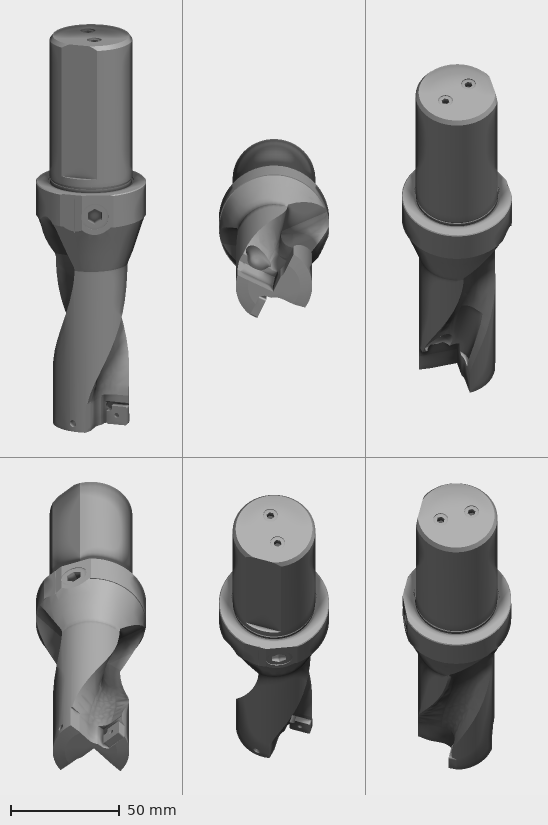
import cadquery as cq
import math


total_height = 186.36
shank_length = 69.85
collar_top_z = total_height - shank_length
collar_height = 15.6
collar_bottom_z = collar_top_z - collar_height
cone_bottom_z = 79.5
neck_blend_height = 1.6

shank_radius = 19.05
shank_chamfer_height = 1.9
shank_chamfer_width = 1.4
collar_radius = 25.4
collar_edge_chamfer = 0.4
cone_top_radius = 25.0
cone_bottom_radius = 18.1
drill_radius = 17.6
tip_flat_radius = 12.0
tip_bevel_height = 0.55
undercut_radius = 18.4
undercut_top_height = 2.3
neck_ring_radius = 18.9
neck_ring_height = 1.1
face_recess_radius = 19.9
face_recess_depth = 0.5

shank_flat_distance = 17.0
shank_flat_length = 63.8
collar_flat_distance = 24.4
screw_flat_distance = 23.92
screw_flat_angle = 22.5
witness_width = 0.5
witness_depth = 0.3
witness_bottom_z = 96.0

outer_flute_vertex_x = 3.8
outer_flute_fillet = 7.5
inner_flute_vertex_x = 2.2
inner_flute_fillet = 6.3
flute_vertex_y = 1.5
flute_reach = 40.0
twist_angle = 78.0
twist_start_z = 13.0
twist_ease_power = 0.8
twist_sections = 14
runout_lean_x = 0.5
runout_lean_y = 0.76
runout_height = 32.0

land_y = 2.0
land_height = 14.3
land_inner_x = 5.9
land_outer_x = 3.0
pocket_height = 10.7
pocket_wall_inset = 1.5
pocket_floor_y = 4.0
insert_face_y = 0.3
insert_inner_x = land_inner_x + pocket_wall_inset
insert_outer_x = 17.2
insert_bottom_z = 0.35
insert_top_z = pocket_height - pocket_wall_inset
insert_corner = 0.8
insert_center_x = (insert_inner_x + insert_outer_x) / 2
insert_center_z = (insert_bottom_z + insert_top_z) / 2
insert_screw_head_radius = 2.9
insert_screw_head_height = 2.2
insert_screw_radius = 1.6
insert_screw_length = 9.0
insert_socket_radius = 1.1
insert_socket_depth = 1.5
relief_radius = 1.9
relief_x = 8.2
relief_z = 8.3

cross_hole_x = -3.1
cross_hole_z = 4.4
cross_hole_radius = 1.6
cross_hole_depth = 8.0

inner_slot_y = -0.7
inner_slot_end_x = 2.5
inner_slot_top_x = 0.5
inner_slot_bend_z = 9.6
inner_slot_top_z = 18.4
ball_radius = 7.0
ball_x = -4.5
ball_y = 9.5
ball_z = 22.5
scoop_radius = 6.0
scoop_start = (-8.0, 2.5, 14.0)
scoop_end = (-8.5, -4.0, 44.0)

side_plug_z = 106.3
side_plug_radius = 6.2
side_plug_length = 12.0
side_plug_recess = 0.3
side_plug_hex = 6.5
side_plug_hex_depth = 5.0
plug_sides = (1, -1)
end_plug_x = 3.65
end_plug_y = -6.45
end_plug_radius = 3.4
end_plug_length = 8.0
end_plug_recess = 0.5
end_plug_hex = 3.2
end_plug_hex_depth = 3.0

margin = 1.0


def block(x_min, x_max, y_min, y_max, z_min, z_max):
    """Axis-aligned box between the given limits."""
    size = (x_max - x_min, y_max - y_min, z_max - z_min)
    return cq.Workplane("XY").box(*size, centered=False).translate((x_min, y_min, z_min))


def cylinder(origin, direction, radius, length):
    """Cylinder starting at origin and running along direction."""
    return cq.Workplane(cq.Solid.makeCylinder(radius, length, cq.Vector(*origin), cq.Vector(*direction)))


def turned_blank():
    """Shank, undercut, collar, cone and drill body turned about Z."""
    recess_z = collar_top_z - face_recess_depth
    ring_top_z = collar_top_z + neck_ring_height
    undercut_top_z = collar_top_z + undercut_top_height
    return (
        cq.Workplane("XZ")
        .moveTo(0, 0)
        .lineTo(tip_flat_radius, 0)
        .lineTo(drill_radius, tip_bevel_height)
        .lineTo(drill_radius, cone_bottom_z - neck_blend_height)
        .lineTo(cone_bottom_radius, cone_bottom_z)
        .lineTo(cone_top_radius, collar_bottom_z)
        .lineTo(collar_radius, collar_bottom_z)
        .lineTo(collar_radius, collar_top_z - collar_edge_chamfer)
        .lineTo(collar_radius - collar_edge_chamfer, collar_top_z)
        .lineTo(face_recess_radius, collar_top_z)
        .lineTo(face_recess_radius, recess_z)
        .lineTo(neck_ring_radius, recess_z)
        .lineTo(neck_ring_radius, ring_top_z)
        .lineTo(undercut_radius, ring_top_z)
        .lineTo(undercut_radius, undercut_top_z)
        .lineTo(shank_radius, undercut_top_z)
        .lineTo(shank_radius, total_height - shank_chamfer_height)
        .lineTo(shank_radius - shank_chamfer_width, total_height)
        .lineTo(0, total_height)
        .close()
        .revolve(360, (0, 0), (0, 1))
    )


def shank_flat_cut():
    """Clamping flat on the -Y side of the shank."""
    return block(
        -shank_radius, shank_radius, -shank_radius - margin, -shank_flat_distance,
        total_height - shank_flat_length, total_height + margin,
    )


def collar_flat_cut(distance, angle):
    """Flat across the collar and cone, facing -Y turned by angle about Z."""
    cut = block(
        -collar_radius, collar_radius, -collar_radius - margin, -distance,
        cone_bottom_z, collar_top_z + margin,
    )
    return cut.rotate((0, 0, 0), (0, 0, 1), angle)


def witness_line_cut():
    """Shallow vertical line on the collar flat."""
    return block(
        -witness_width / 2, witness_width / 2,
        -collar_radius, -collar_flat_distance + witness_depth,
        witness_bottom_z, collar_top_z + margin,
    )


def flute_section(vertex_x, fillet, z, angle):
    """Right-angled flute section with a rounded root, at height z and turned by angle."""
    root_center_x = vertex_x + fillet
    root_center_y = flute_vertex_y - fillet
    root_offset = fillet * math.sqrt(0.5)
    return (
        cq.Workplane("XY")
        .moveTo(vertex_x, -flute_reach)
        .lineTo(vertex_x, root_center_y)
        .threePointArc(
            (root_center_x - root_offset, root_center_y + root_offset),
            (root_center_x, flute_vertex_y),
        )
        .lineTo(flute_reach, flute_vertex_y)
        .lineTo(flute_reach, -flute_reach)
        .close()
        .val()
        .rotate(cq.Vector(0, 0, 0), cq.Vector(0, 0, 1), angle)
        .translate(cq.Vector(0, 0, z))
    )


def twist_at(fraction):
    """Flute angle along the twist, easing in and out."""
    eased = fraction ** twist_ease_power
    return twist_angle * eased ** 2 * (3 - 2 * eased)


def flute_cuts(vertex_x, fillet):
    """Straight start, twisted length and leaning run-out of a flute that starts toward +X."""
    start = cq.Solid.extrudeLinear(
        flute_section(vertex_x, fillet, -margin, 0), [], cq.Vector(0, 0, twist_start_z + margin)
    )
    sections = []
    for index in range(twist_sections + 1):
        fraction = index / twist_sections
        z = twist_start_z + fraction * (cone_bottom_z - twist_start_z)
        sections.append(flute_section(vertex_x, fillet, z, twist_at(fraction)))
    twisted = cq.Solid.makeLoft(sections)
    lean = cq.Vector(runout_lean_x, runout_lean_y, 1) * runout_height
    runout = cq.Solid.extrudeLinear(
        flute_section(vertex_x, fillet, cone_bottom_z, twist_angle), [], lean
    )
    return [cq.Workplane(cut) for cut in (start, twisted, runout)]


def inner_slot_cut():
    """Slot reaching past the axis at the cutting end of the inner flute."""
    return (
        cq.Workplane("XZ", origin=(0, inner_slot_y, 0))
        .polyline([
            (-flute_reach, -margin),
            (inner_slot_end_x, -margin),
            (inner_slot_end_x, inner_slot_bend_z),
            (inner_slot_top_x, inner_slot_top_z),
            (-flute_reach, inner_slot_top_z),
        ])
        .close()
        .extrude(-flute_reach)
    )


def inner_ball_cut():
    """Ball-shaped end above the inner slot."""
    return cq.Workplane("XY").sphere(ball_radius).translate((ball_x, ball_y, ball_z))


def inner_scoop_cut():
    """Round groove along the trailing wall of the inner flute."""
    axis = cq.Vector(*scoop_end) - cq.Vector(*scoop_start)
    return cylinder(scoop_start, axis.toTuple(), scoop_radius, axis.Length)


def tip_land_cut():
    """Flat land with a sloping side wall at the cutting end of a flute."""
    return (
        cq.Workplane("XY")
        .workplane(offset=-margin)
        .polyline([
            (land_outer_x, -drill_radius),
            (land_inner_x, land_y),
            (flute_reach, land_y),
            (flute_reach, -drill_radius),
        ])
        .close()
        .extrude(land_height + margin)
    )


def insert_pocket_cut():
    """Insert seat with sloping walls, open at the end and the outside."""
    mouth_width = drill_radius + margin - land_inner_x
    floor_width = mouth_width - pocket_wall_inset
    mouth = cq.Wire.makePolygon([
        cq.Vector(land_inner_x, land_y, -margin),
        cq.Vector(land_inner_x + mouth_width, land_y, -margin),
        cq.Vector(land_inner_x + mouth_width, land_y, pocket_height),
        cq.Vector(land_inner_x, land_y, pocket_height),
    ], close=True)
    floor = cq.Wire.makePolygon([
        cq.Vector(insert_inner_x, pocket_floor_y, -margin),
        cq.Vector(insert_inner_x + floor_width, pocket_floor_y, -margin),
        cq.Vector(insert_inner_x + floor_width, pocket_floor_y, insert_top_z),
        cq.Vector(insert_inner_x, pocket_floor_y, insert_top_z),
    ], close=True)
    return cq.Solid.makeLoft([mouth, floor], True)


def relief_cut():
    """Round relief at the inner corner of the insert and its seat."""
    length = pocket_floor_y - insert_face_y + margin
    return cylinder((relief_x, insert_face_y, relief_z), (0, 1, 0), relief_radius, length)


def insert_screw_blank():
    """Countersunk screw without its socket, head flush with the insert face."""
    profile = (
        cq.Workplane("XY")
        .moveTo(0, 0)
        .lineTo(insert_screw_head_radius, 0)
        .lineTo(insert_screw_radius, insert_screw_head_height)
        .lineTo(insert_screw_radius, insert_screw_length)
        .lineTo(0, insert_screw_length)
        .close()
    )
    screw = profile.revolve(360, (0, 0), (0, 1))
    return screw.translate((insert_center_x, insert_face_y, insert_center_z))


def cutting_insert():
    """Four-sided insert with rounded corners and a countersunk hole."""
    plate = block(
        insert_inner_x, insert_outer_x, insert_face_y, pocket_floor_y, insert_bottom_z, insert_top_z
    )
    plate = plate.edges("|Y").fillet(insert_corner)
    return plate.cut(insert_screw_blank()).cut(relief_cut())


def insert_screw():
    """Screw that holds the insert."""
    socket = cylinder(
        (insert_center_x, insert_face_y, insert_center_z), (0, 1, 0),
        insert_socket_radius, insert_socket_depth,
    )
    return insert_screw_blank().cut(socket)


def hex_plug(radius, length, hex_size, hex_depth):
    """Plug along -Z from the origin with a hexagon socket in its top."""
    plug = cq.Workplane("XY").circle(radius).extrude(-length)
    socket = cq.Workplane("XY").polygon(6, hex_size / math.cos(math.pi / 6)).extrude(-hex_depth)
    return plug.cut(socket)


def place_on_screw_flat(shape):
    """Move a shape built along -Z onto the angled collar flat, pointing inward."""
    return (
        shape.rotate((0, 0, 0), (0, 0, 1), 90)
        .rotate((0, 0, 0), (1, 0, 0), 90)
        .translate((0, -screw_flat_distance, side_plug_z))
        .rotate((0, 0, 0), (0, 0, 1), screw_flat_angle)
    )


def side_plug():
    """Plug in the angled collar flat."""
    plug = hex_plug(
        side_plug_radius, side_plug_length - side_plug_recess, side_plug_hex, side_plug_hex_depth
    )
    return place_on_screw_flat(plug.translate((0, 0, -side_plug_recess)))


def side_plug_hole():
    """Hole for the side plug, open past the flat."""
    hole = cq.Workplane("XY").circle(side_plug_radius).extrude(-side_plug_length - margin)
    return place_on_screw_flat(hole.translate((0, 0, margin)))


def end_plug(side):
    """Plug in the shank end, on one side of the axis."""
    plug = hex_plug(end_plug_radius, end_plug_length - end_plug_recess, end_plug_hex, end_plug_hex_depth)
    return plug.translate((side * end_plug_x, side * end_plug_y, total_height - end_plug_recess))


def end_plug_hole(side):
    """Hole for one end plug."""
    return cylinder(
        (side * end_plug_x, side * end_plug_y, total_height), (0, 0, -1), end_plug_radius, end_plug_length
    )


def drill_body():
    """Drill holder with every flat, flute, seat and hole cut."""
    body = turned_blank()
    body = body.cut(shank_flat_cut())
    body = body.cut(collar_flat_cut(collar_flat_distance, 0))
    body = body.cut(collar_flat_cut(screw_flat_distance, screw_flat_angle))
    body = body.cut(witness_line_cut())
    for cut in flute_cuts(outer_flute_vertex_x, outer_flute_fillet):
        body = body.cut(cut)
    for cut in flute_cuts(inner_flute_vertex_x, inner_flute_fillet):
        body = body.cut(cut.rotate((0, 0, 0), (0, 0, 1), 180))
    body = body.cut(inner_slot_cut())
    body = body.cut(inner_ball_cut())
    body = body.cut(inner_scoop_cut())
    body = body.cut(tip_land_cut())
    body = body.cut(cq.Workplane(insert_pocket_cut()))
    body = body.cut(relief_cut())
    body = body.cut(insert_screw_blank())
    cross_hole = cylinder(
        (cross_hole_x, -drill_radius, cross_hole_z), (0, 1, 0), cross_hole_radius, cross_hole_depth
    )
    body = body.cut(cross_hole)
    body = body.cut(side_plug_hole())
    for side in plug_sides:
        body = body.cut(end_plug_hole(side))
    return body


body = drill_body()
end_plugs = [end_plug(side).val() for side in plug_sides]

result = cq.Compound.makeCompound([
    body.val(),
    *end_plugs,
    side_plug().val(),
    cutting_insert().val(),
    insert_screw().val(),
])